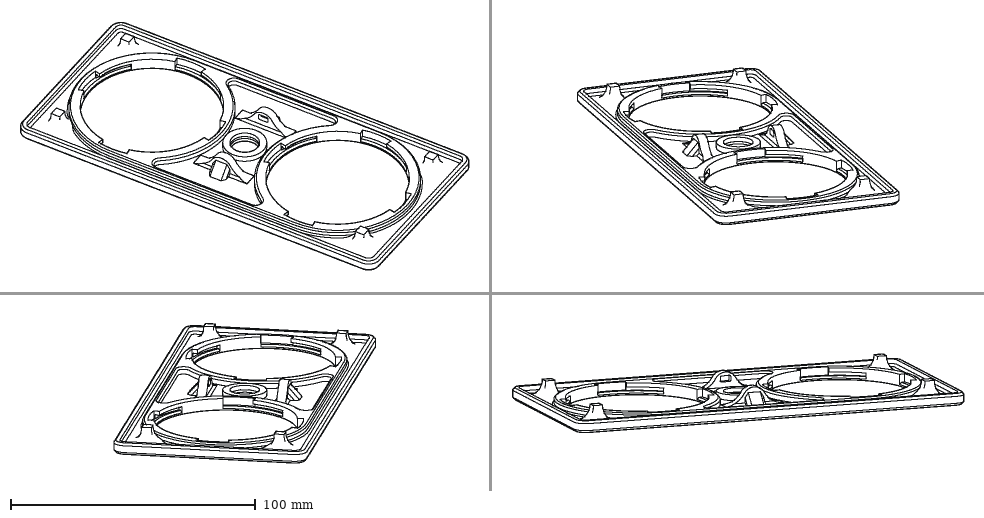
import cadquery as cq
import math

LENGTH = 170.0
WIDTH = 80.0
CORNER_RADIUS = 5.1
RIM_TOP = 5.0
FLOOR = 2.0
EDGE_INSET = 0.8
EDGE_HEIGHT = 1.0
RIM_WIDTH = 2.5
RIM_FOOT = 1.0

OPENING_X = 44.2
OPENING_RADIUS = 58.6 / 2
LAND_TOP = RIM_TOP
LAND_RADIUS = 34.0
LAND_BEVEL = 0.7
LAND_FOOT = 0.7

NOTCH_RADIUS = 31.8
NOTCH_HALF_ANGLE = 12.3
GROOVE_RADIUS = 31.3
GROOVE_SWEEP = 30.0
GROOVE_TOP = 3.2
LEDGE_TOP = 1.5
LEDGE_BEVEL = 0.8
NOTCH_COUNT = 4

POCKET_HALF_WIDTH = 31.8
POCKET_ARC_RADIUS = 34.0
POCKET_CORNER_RADIUS = 2.4
POCKET_BEVEL = 0.8

BOSS_DIAMETER = 18.0
BOSS_TOP = 4.5
BORE_DIAMETER = 12.0
BORE_GROOVE_BOTTOM = 1.5
BORE_GROOVE_DEPTH = 1.0

LUG_TOP = 9.5
LUG_HALF_LENGTH = 12.8
LUG_CROWN_RADIUS = 5.1
LUG_CROWN_ANGLE = 60.0
LUG_INNER = 14.6
LUG_OUTER = 18.5
LUG_FOOT = 1.0

SOCKET_WIDTH = 4.6
SOCKET_BOTTOM = 5.5
SOCKET_TOP = 8.0
SOCKET_DEPTH = 2.0
SOCKET_CORNER_RADIUS = 0.7

GUSSET_WIDTH = 8.0
GUSSET_TOP = 7.3
GUSSET_REACH = 23.3
GUSSET_BEVEL = 1.4

PIN_X = 72.5
PIN_Y = 27.5
PIN_TOP = 9.0
PIN_SIDE = 4.0
PIN_FLARE_RADIUS = 6.5


def rounded_plate(inset, bottom, top):
    """Rounded rectangle, set in from the outer outline."""
    plate = cq.Workplane("XY").workplane(offset=bottom)
    plate = plate.rect(LENGTH - 2 * inset, WIDTH - 2 * inset).extrude(top - bottom)
    return plate.edges("|Z").fillet(CORNER_RADIUS - inset)


def ring_cutter(points, start_angle, sweep):
    """Revolve a radius-height profile about Z through part of a turn."""
    cutter = cq.Workplane("XZ").polyline(points).close()
    cutter = cutter.revolve(sweep, (0, 0, 0), (0, 1, 0))
    return cutter.rotate((0, 0, 0), (0, 0, 1), start_angle)


def make_frame():
    """Rimmed tray with bevelled outer edges."""
    bevel = (EDGE_HEIGHT, EDGE_INSET)
    frame = rounded_plate(0, 0, RIM_TOP)
    frame = frame.faces(">Z").chamfer(*bevel).faces("<Z").chamfer(*bevel)
    inner = rounded_plate(RIM_WIDTH, FLOOR, RIM_TOP).faces("<Z").chamfer(RIM_FOOT)
    return frame.cut(inner)


def make_land():
    """Raised obround land that surrounds both openings."""
    def obround(radius):
        return cq.Workplane("XY").slot2D(2 * (OPENING_X + radius), 2 * radius)

    land = obround(LAND_RADIUS).extrude(LAND_TOP).faces(">Z").chamfer(LAND_BEVEL)
    foot = obround(LAND_RADIUS + LAND_FOOT).extrude(FLOOR + LAND_FOOT).faces(">Z").chamfer(LAND_FOOT)
    return land.union(foot)


def make_pocket():
    """Pocket with two straight sides and two sides concentric with the openings."""
    corner_x = OPENING_X - math.sqrt(POCKET_ARC_RADIUS**2 - POCKET_HALF_WIDTH**2)
    waist_x = OPENING_X - POCKET_ARC_RADIUS
    pocket = (
        cq.Workplane("XY").workplane(offset=FLOOR)
        .moveTo(-corner_x, POCKET_HALF_WIDTH)
        .lineTo(corner_x, POCKET_HALF_WIDTH)
        .threePointArc((waist_x, 0), (corner_x, -POCKET_HALF_WIDTH))
        .lineTo(-corner_x, -POCKET_HALF_WIDTH)
        .threePointArc((-waist_x, 0), (-corner_x, POCKET_HALF_WIDTH))
        .close()
        .extrude(LAND_TOP - FLOOR)
        .edges("|Z").fillet(POCKET_CORNER_RADIUS)
    )
    mouth = (
        pocket.faces(">Z").wires().toPending()
        .workplane().offset2D(POCKET_BEVEL)
        .extrude(-POCKET_BEVEL, taper=45)
    )
    return pocket.union(mouth)


def make_opening():
    """Round opening with entry notches, each leading into a bayonet groove."""
    opening = cq.Workplane("XY").circle(OPENING_RADIUS).extrude(LAND_TOP)
    core = OPENING_RADIUS - LEDGE_BEVEL

    def profile(outer, top):
        """Radial section of a cut that leaves a bevelled ledge below it."""
        return [
            (core, LEDGE_TOP - 2 * LEDGE_BEVEL),
            (OPENING_RADIUS + LEDGE_BEVEL, LEDGE_TOP),
            (outer, LEDGE_TOP),
            (outer, top),
            (core, top),
        ]

    for index in range(NOTCH_COUNT):
        middle = index * 360 / NOTCH_COUNT
        start = middle - NOTCH_HALF_ANGLE
        notch = ring_cutter(profile(NOTCH_RADIUS, LAND_TOP), start, 2 * NOTCH_HALF_ANGLE)
        groove = ring_cutter(profile(GROOVE_RADIUS, GROOVE_TOP), start - GROOVE_SWEEP, GROOVE_SWEEP)
        opening = opening.union(notch).union(groove)
    return opening


def make_lug():
    """Bell-shaped lug with a bevelled foot, a socket and a sloping gusset, on the +Y side."""
    angle = math.radians(LUG_CROWN_ANGLE)
    half_angle = angle / 2
    crown_centre = LUG_TOP - LUG_CROWN_RADIUS
    join_x = LUG_CROWN_RADIUS * math.sin(angle)
    join_z = crown_centre + LUG_CROWN_RADIUS * math.cos(angle)
    flare_radius = (LUG_HALF_LENGTH - join_x) / math.sin(angle)
    flare_x = LUG_HALF_LENGTH - flare_radius * math.sin(half_angle)
    base_z = join_z - flare_radius * (1 - math.cos(angle))
    flare_z = base_z + flare_radius * (1 - math.cos(half_angle))
    bell = (
        cq.Workplane("XZ")
        .moveTo(-LUG_HALF_LENGTH, 0)
        .lineTo(-LUG_HALF_LENGTH, base_z)
        .threePointArc((-flare_x, flare_z), (-join_x, join_z))
        .threePointArc((0, LUG_TOP), (join_x, join_z))
        .threePointArc((flare_x, flare_z), (LUG_HALF_LENGTH, base_z))
        .lineTo(LUG_HALF_LENGTH, 0)
        .close()
        .extrude(-WIDTH / 2)
    )
    footed = (
        cq.Workplane("YZ")
        .polyline([
            (LUG_INNER - LUG_FOOT, FLOOR / 2),
            (LUG_INNER - LUG_FOOT, FLOOR),
            (LUG_INNER, FLOOR + LUG_FOOT),
            (LUG_INNER, LUG_TOP),
            (LUG_OUTER, LUG_TOP),
            (LUG_OUTER, FLOOR + LUG_FOOT),
            (LUG_OUTER + LUG_FOOT, FLOOR),
            (LUG_OUTER + LUG_FOOT, FLOOR / 2),
        ])
        .close()
        .extrude(LUG_HALF_LENGTH, both=True)
    )
    lug_middle = (LUG_INNER + LUG_OUTER) / 2
    gusset = (
        cq.Workplane("YZ")
        .polyline([
            (lug_middle, FLOOR),
            (lug_middle, GUSSET_TOP),
            (LUG_OUTER, GUSSET_TOP),
            (GUSSET_REACH, FLOOR),
        ])
        .close()
        .extrude(GUSSET_WIDTH / 2, both=True)
        .faces(">(0, 1, 1)").edges("not |X").chamfer(GUSSET_BEVEL)
    )
    socket = (
        cq.Workplane("XZ", origin=(0, LUG_INNER, (SOCKET_BOTTOM + SOCKET_TOP) / 2))
        .rect(SOCKET_WIDTH, SOCKET_TOP - SOCKET_BOTTOM)
        .extrude(-SOCKET_DEPTH)
        .edges("|Y").fillet(SOCKET_CORNER_RADIUS)
    )
    return bell.intersect(footed).union(gusset).cut(socket)


def flare_outline():
    """Section of the pin's foot: a concave quarter round between the floor and the pin."""
    middle = PIN_FLARE_RADIUS * (1 - math.sqrt(0.5))
    return (
        cq.Workplane("XZ", origin=(0, 0, FLOOR))
        .lineTo(PIN_FLARE_RADIUS, 0)
        .threePointArc((middle, middle), (0, PIN_FLARE_RADIUS))
        .close()
    )


def make_pin():
    """Square pin whose foot flares out to the floor on every side."""
    half = PIN_SIDE / 2
    side = flare_outline().extrude(half, both=True).translate((half, 0, 0))
    corner = flare_outline().revolve(90, (0, 0, 0), (0, 1, 0)).translate((half, half, 0))
    pin = cq.Workplane("XY").rect(PIN_SIDE, PIN_SIDE).extrude(PIN_TOP)
    for angle in (0, 90, 180, 270):
        for piece in (side, corner):
            pin = pin.union(piece.rotate((0, 0, 0), (0, 0, 1), angle))
    return pin


def make_boss():
    """Round boss in the middle of the pocket."""
    return cq.Workplane("XY").circle(BOSS_DIAMETER / 2).extrude(BOSS_TOP)


def make_bore():
    """Through bore with a groove part-way up, whose lower side slopes at 45 degrees."""
    radius = BORE_DIAMETER / 2
    groove_top = BORE_GROOVE_BOTTOM + BORE_GROOVE_DEPTH
    outline = [
        (0, 0),
        (radius, 0),
        (radius, BORE_GROOVE_BOTTOM),
        (radius + BORE_GROOVE_DEPTH, groove_top),
        (radius, groove_top),
        (radius, BOSS_TOP),
        (0, BOSS_TOP),
    ]
    return ring_cutter(outline, 0, 360)


result = make_frame()

pin = make_pin()
for x in (-PIN_X, PIN_X):
    for y in (-PIN_Y, PIN_Y):
        result = result.union(pin.translate((x, y, 0)))

result = result.union(make_land()).cut(make_pocket())

opening = make_opening()
for x in (-OPENING_X, OPENING_X):
    result = result.cut(opening.translate((x, 0, 0)))

lug = make_lug()
result = result.union(lug).union(lug.mirror("XZ"))
result = result.union(make_boss()).cut(make_bore())